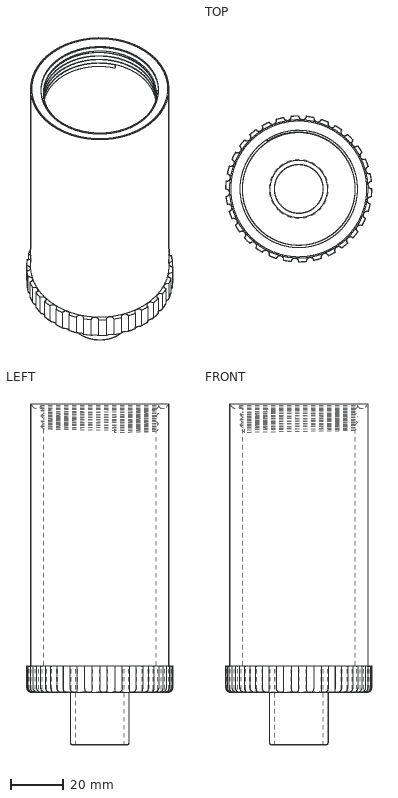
import cadquery as cq
import math

total_height = 130.0
base_bottom = 20.0
base_thickness = 10.0
base_top = base_bottom + base_thickness

tube_diameter = 52.8
tube_bore_diameter = 43.0
rim_land = 0.5
rim_groove_radius = 1.8

thread_major_diameter = 44.8
thread_depth = (thread_major_diameter - tube_bore_diameter) / 2
thread_half_angle = 45.0
thread_pitch = 2.0
thread_top = total_height - 2.4
thread_bottom = total_height - 10.0
thread_start_angle = 195.0
bore_overlap = 0.05

mouth_wall_height = 1.2

base_diameter = 55.74
base_edge_radius = 2.0
flute_count = 30
flute_radius = 1.4
flute_start_angle = 3.0

stem_diameter = 22.5
stem_neck_diameter = 21.9
stem_bore_diameter = 18.5
stem_edge_radius = 1.0


def cylinder(diameter, bottom, top):
    return cq.Workplane("XY").workplane(offset=bottom).circle(diameter / 2).extrude(top - bottom)


def rim_groove():
    """Round-bottomed ring groove in the top face of the tube."""
    centre_radius = tube_diameter / 2 - rim_land - rim_groove_radius
    return (
        cq.Workplane("XZ")
        .center(centre_radius, total_height)
        .circle(rim_groove_radius)
        .revolve(360, (-centre_radius, 0), (-centre_radius, 1))
    )


def thread_groove():
    """Right-hand helical V groove that cuts the thread into the bore."""
    bore_radius = tube_bore_diameter / 2
    inner_radius = bore_radius - bore_overlap
    root_radius = bore_radius + thread_depth
    half_width = (root_radius - inner_radius) * math.tan(math.radians(thread_half_angle))
    helix = cq.Wire.makeHelix(
        thread_pitch, thread_top - thread_bottom, bore_radius, cq.Vector(0, 0, thread_bottom)
    )
    groove = (
        cq.Workplane("XZ")
        .moveTo(inner_radius, thread_bottom - half_width)
        .lineTo(root_radius, thread_bottom)
        .lineTo(inner_radius, thread_bottom + half_width)
        .close()
        .sweep(cq.Workplane(helix), isFrenet=True)
    )
    return groove.rotate((0, 0, 0), (0, 0, 1), thread_start_angle)


def mouth():
    """Short wide cylinder and 45 degree cone that lead into the threaded bore."""
    cone_top = total_height - mouth_wall_height
    cone_bottom = cone_top - thread_depth
    return (
        cq.Workplane("XZ")
        .moveTo(0, total_height)
        .lineTo(thread_major_diameter / 2, total_height)
        .lineTo(thread_major_diameter / 2, cone_top)
        .lineTo(tube_bore_diameter / 2, cone_bottom)
        .lineTo(0, cone_bottom)
        .close()
        .revolve(360, (0, 0), (0, 1))
    )


def make_tube():
    """Plain tube with a threaded mouth and a grooved rim, standing on the base."""
    tube = cylinder(tube_diameter, base_top, total_height)
    tube = tube.cut(cylinder(tube_bore_diameter, base_top, total_height))
    tube = tube.cut(thread_groove())
    tube = tube.cut(mouth())
    return tube.cut(rim_groove())


def make_base():
    """Disc with a rounded lower edge, fluted all round, and a hole for the stem neck."""
    base = cylinder(base_diameter, base_bottom, base_top)
    base = base.faces("<Z").edges().fillet(base_edge_radius)
    flutes = (
        cq.Workplane("XY")
        .workplane(offset=base_bottom)
        .polarArray(base_diameter / 2, flute_start_angle, 360, flute_count)
        .circle(flute_radius)
        .extrude(base_thickness)
    )
    base = base.cut(flutes)
    return base.cut(cylinder(stem_neck_diameter, base_bottom, base_top))


def make_stem():
    """Hollow stem whose narrower neck fills the hole in the base."""
    stem = cylinder(stem_diameter, 0, base_bottom)
    stem = stem.faces("<Z").edges().fillet(stem_edge_radius)
    stem = stem.union(cylinder(stem_neck_diameter, base_bottom, base_top))
    return stem.cut(cylinder(stem_bore_diameter, 0, base_top))


tube = make_tube().solids()
base = make_base().solids()
stem = make_stem().solids()

result = cq.Compound.makeCompound([tube.val(), base.val(), stem.val()])